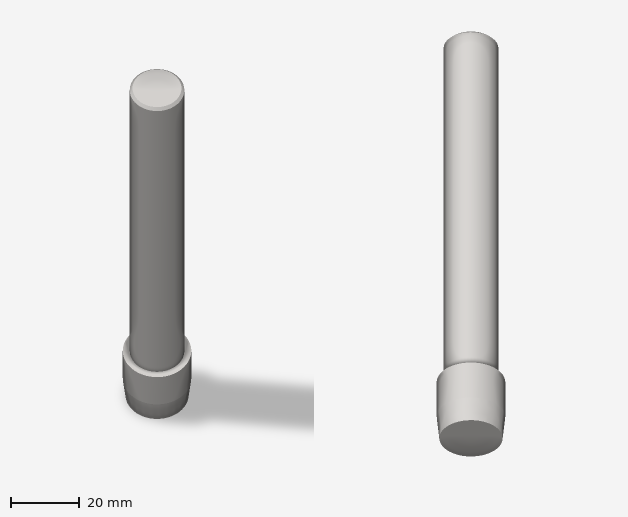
import cadquery as cq

total_length = 140.0

rod_radius = 8.0
rod_chamfer = 0.8

collar_radius = 10.01
collar_height = 20.0
nose_height = 7.5
nose_bottom_radius = 9.2


def make_rod():
    """Round rod running the full length, chamfered at its free upper end."""
    rod = cq.Workplane("XY").circle(rod_radius).extrude(total_length)
    return rod.faces(">Z").edges().chamfer(rod_chamfer)


def make_collar():
    """Sleeve around the foot of the rod, narrowing to a tapered nose."""
    profile = [
        (rod_radius, 0),
        (nose_bottom_radius, 0),
        (collar_radius, nose_height),
        (collar_radius, collar_height),
        (rod_radius, collar_height),
    ]
    return cq.Workplane("XZ").polyline(profile).close().revolve(360, (0, 0, 0), (0, 1, 0))


rod = make_rod()
collar = make_collar()

result = cq.Compound.makeCompound([rod.val(), collar.val()])